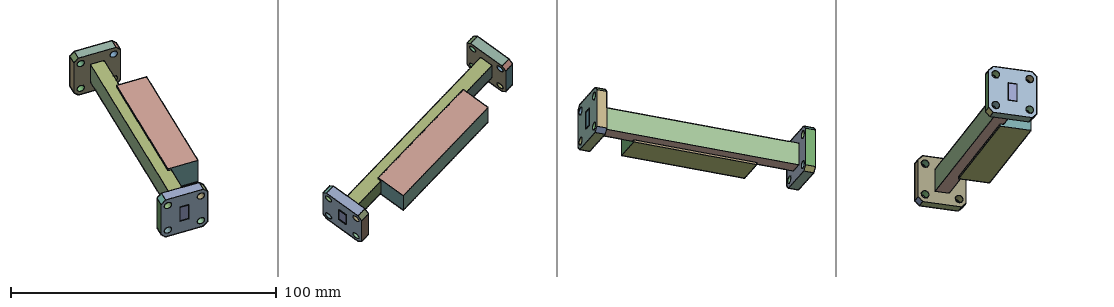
import cadquery as cq

overall_length = 88.9

flange_side = 19.05
flange_thickness = 4.1
flange_corner_chamfer = 1.8
hole_diameter = 2.95
hole_spacing_y = 13.46
hole_spacing_z = 12.7

tube_width = 5.59
tube_height = 9.14

recess_width = 3.556
recess_height = 7.112
recess_depth = 0.25

block_length = 50.0
block_depth = 12.3
block_height = 10.95
block_overhang = 4.19

block_back_y = flange_side / 2 + block_overhang
block_center_y = block_back_y - block_depth / 2


def make_flange(start_x):
    """Square flange with chamfered corners and four through holes, from start_x towards +X."""
    plate = (
        cq.Workplane("YZ", origin=(start_x, 0, 0))
        .rect(flange_side, flange_side)
        .extrude(flange_thickness)
        .edges("|X")
        .chamfer(flange_corner_chamfer)
    )
    holes = (
        cq.Workplane("YZ", origin=(start_x, 0, 0))
        .rect(hole_spacing_y, hole_spacing_z, forConstruction=True)
        .vertices()
        .circle(hole_diameter / 2)
        .extrude(flange_thickness)
    )
    return plate.cut(holes)


def make_tube():
    """Solid bar running the full length between the outer flange faces."""
    return cq.Workplane("XY").box(overall_length, tube_width, tube_height)


def make_block():
    """Plain block centred along the tube and offset towards +Y."""
    return (
        cq.Workplane("XY")
        .box(block_length, block_depth, block_height)
        .translate((0, block_center_y, 0))
    )


def make_recess(start_x):
    """Cutter for one waveguide opening, from start_x towards +X."""
    return (
        cq.Workplane("YZ", origin=(start_x, 0, 0))
        .rect(recess_width, recess_height)
        .extrude(recess_depth)
    )


end_x = overall_length / 2

result = make_tube().union(make_block())
for flange_start_x in (-end_x, end_x - flange_thickness):
    result = result.union(make_flange(flange_start_x))
for recess_start_x in (-end_x, end_x - recess_depth):
    result = result.cut(make_recess(recess_start_x))
result = result.clean()